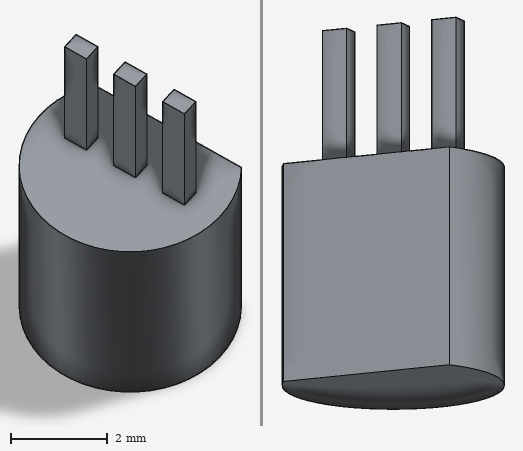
import cadquery as cq

total_height = 7.61
body_diameter = 4.6
body_depth = 3.6

lead_count = 3
lead_length = 3.0
lead_width = 0.555
lead_thickness = 0.4
lead_pitch = 1.25

body_radius = body_diameter / 2
body_height = total_height - lead_length
flat_y = body_depth - body_radius


def make_body():
    """Upright cylinder about Z, cut by a flat on its +Y side."""
    cylinder = cq.Workplane("XY").circle(body_radius).extrude(body_height)
    cutter = (
        cq.Workplane("XY")
        .box(body_diameter, body_diameter, body_height, centered=(True, False, False))
        .translate((0, flat_y, 0))
    )
    return cylinder.cut(cutter)


def add_leads(body):
    """Row of leads along X, centred on the cylinder axis."""
    leads = (
        cq.Workplane("XY", origin=(0, 0, body_height))
        .rarray(lead_pitch, 0.075, lead_count, 1)
        .rect(lead_width, lead_thickness)
        .extrude(lead_length)
    )
    return body.union(leads)


result = add_leads(make_body())